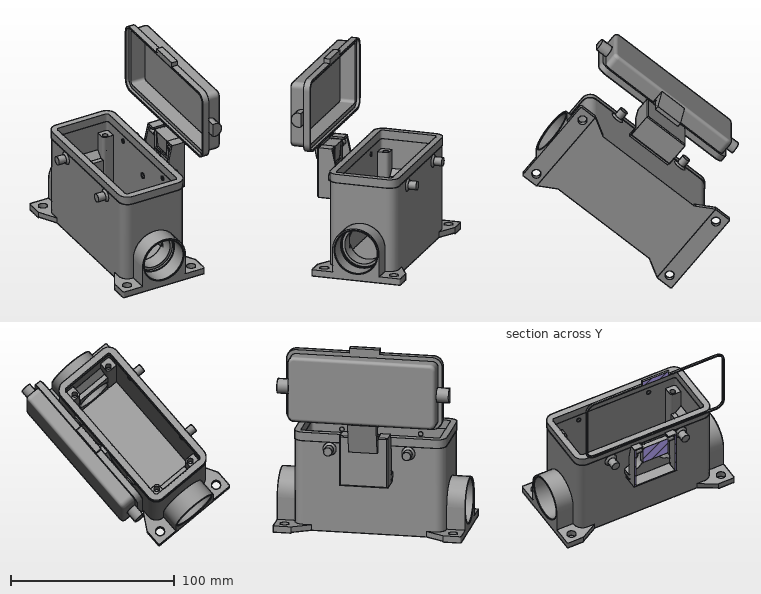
import cadquery as cq

HOUSING_LENGTH = 94.1
HOUSING_WIDTH = 43.8
HOUSING_BOTTOM = 0.5
HOUSING_TOP = 63.25
HOUSING_CORNER_RADIUS = 6.0
RIM_STEP = 0.3
RIM_HEIGHT = 5.5
CAVITY_LENGTH = 86.6
CAVITY_WIDTH = 36.0
CAVITY_STEP = 0.15
CAVITY_FLOOR = 3.5
CAVITY_CORNER_RADIUS = 1.5

POST_SIZE = 7.1
POST_TOP = 51.4
POST_EDGE_RADIUS = 1.8
POST_SCREW_X = 38.7
POST_SCREW_Y = 13.5
POST_SCREW_DIAMETER = 3.4
POST_SCREW_DEPTH = 10.0

ENTRY_END_X = 58.5
ENTRY_AXIS_Z = 18.25
ENTRY_RADIUS = 15.05
ENTRY_HOLE_RADIUS = 11.35
ENTRY_BORE_RADIUS = 13.6
ENTRY_BORE_DEPTH = 11.0
ENTRY_SHOULDER_RADIUS = 13.0
ENTRY_SHOULDER_DEPTH = 12.6
ENTRY_LEAD_IN_RADIUS = 14.1
ENTRY_LEAD_IN_DEPTH = 0.5
ENTRY_BLOCK_TOP = 35.3
ENTRY_BLOCK_SLOPE_RUN = 4.1

FOOT_HALF_WIDTH = 28.5
FOOT_HEIGHT = 4.1
FOOT_PAD_X = 47.3
FOOT_WEDGE_X = 35.8
FOOT_CORNER_RADIUS = 0.8
FOOT_HOLE_X = 52.4
FOOT_HOLE_Y = 22.45
FOOT_HOLE_DIAMETER = 5.6

PIN_X = 24.5
PIN_Z = 53.5
PIN_END_Y = 28.2
PIN_RADIUS = 2.65
PIN_COLLAR_RADIUS = 4.1
PIN_COLLAR_LENGTH = 1.2
PIN_MARK_RADIUS = 1.4
HINGE_SCREW_Z = 42.0
HINGE_SCREW_RADIUS = 1.8
WALL_HOLE_DEPTH = 0.5

HINGE_HALF_LENGTH = 15.0
HINGE_BASE_BOTTOM = 38.0
HINGE_BASE_BACK = 27.9
HINGE_BASE_SIDE_TOP = 41.1
HINGE_BASE_TOP = 57.3
HINGE_BASE_TOP_HALF_LENGTH = 2.65
FLARE_TOP = (5.4, 49.2)
FLARE_MIDDLE = (7.4, 45.5)
FLARE_BOTTOM = (10.9, 43.6)
BRACKET_BACK = 39.45
BRACKET_TOP = 67.9
BRACKET_TOP_FRONT = 30.2
BRACKET_SLOPE_Z = 57.7
BRACKET_BOTTOM = 35.9
BRACKET_LIP_FRONT = 23.6
BRACKET_SIDE_WALL = 1.6
BRACKET_WALL = 1.2
BRACKET_EDGE_CHAMFER = 0.7

COVER_FRONT = 33.1
COVER_BACK = 46.75
COVER_AXIS_Z = 97.85
FLANGE_LENGTH = 96.8
FLANGE_HEIGHT = 46.1
FLANGE_THICKNESS = 4.1
FLANGE_RADIUS = 6.0
SHELL_INSET = 2.5
SHELL_EDGE_RADIUS = 2.0
SEAT_INSET = 1.1
SEAT_DEPTH = 2.0
COVER_CAVITY_INSET = 3.65
COVER_CAVITY_RADIUS = 2.0
COVER_SKIN = 1.9
TAB_LENGTH = 18.7
TAB_TOP = 123.75
TRUNNION_END_X = 53.4
TRUNNION_Z = 97.65
TRUNNION_RADIUS = 4.55
TRUNNION_Y = 38.8
ARM_LENGTH = 17.7
ARM_BOTTOM = 58.7
ARM_BOTTOM_BACK = 41.9
ARM_TOP_BACK = 45.9
ARM_TOP_FRONT = 39.9
HUB_FRONT = 31.2
HUB_TOP = 66.5
HUB_POCKET_LENGTH = 12.0
HUB_POCKET_DEPTH = 1.0
HUB_POCKET_BOTTOM = 55.5
HUB_BOTTOM = 54.0
AXLE_RADIUS = 1.5
AXLE_Y = 32.0
AXLE_Z = 63.6

FLANGE_BACK = COVER_FRONT + FLANGE_THICKNESS
RIM_BOTTOM = HOUSING_TOP - RIM_HEIGHT
WALL_Y = HOUSING_WIDTH / 2
CAVITY_END_X = CAVITY_LENGTH / 2
POST_INNER_X = CAVITY_END_X - POST_SIZE
POST_INNER_Y = CAVITY_WIDTH / 2 - POST_SIZE
SIDES = (1, -1)


def box(x_range, y_range, z_range):
    """Axis-aligned box between the given limits."""
    size = [high - low for low, high in (x_range, y_range, z_range)]
    corner = (x_range[0], y_range[0], z_range[0])
    return cq.Workplane("XY").box(*size, centered=False).translate(corner)


def upright_block(length, width, bottom, top, radius):
    """Box with rounded vertical edges, centred on the Z axis."""
    block = cq.Workplane("XY").box(length, width, top - bottom, centered=(True, True, False))
    return block.edges("|Z").fillet(radius).translate((0, 0, bottom))


def cover_plate(inset, radius, front, back):
    """Rounded plate parallel to XZ, its outline set in from the cover flange."""
    plate = cq.Workplane("XY").box(
        FLANGE_LENGTH - 2 * inset, back - front, FLANGE_HEIGHT - 2 * inset, centered=(True, False, True)
    )
    return plate.edges("|Y").fillet(radius).translate((0, front, COVER_AXIS_Z))


def x_cylinder(radius, start, end, y, z):
    """Cylinder along X between two X positions."""
    return cq.Workplane("YZ", origin=(start, y, z)).circle(radius).extrude(end - start)


def y_cylinder(radius, start, end, x, z):
    """Cylinder along Y between two Y positions."""
    return cq.Workplane("XZ", origin=(x, start, z)).circle(radius).extrude(start - end)


def mirrored_x(shape):
    """Shape together with its mirror image across the YZ plane."""
    return shape.union(shape.mirror("YZ"))


def extrude_along_x(profile, half_length):
    """Solid from a closed YZ profile, symmetric about X = 0."""
    return profile.extrude(half_length, both=True)


def housing_shell():
    shell = upright_block(
        HOUSING_LENGTH, HOUSING_WIDTH, HOUSING_BOTTOM, HOUSING_TOP, HOUSING_CORNER_RADIUS
    )
    return shell.union(
        upright_block(
            HOUSING_LENGTH + 2 * RIM_STEP,
            HOUSING_WIDTH + 2 * RIM_STEP,
            RIM_BOTTOM,
            HOUSING_TOP,
            HOUSING_CORNER_RADIUS + RIM_STEP,
        )
    )


def housing_cavity():
    """Cavity, slightly narrower below the rim."""
    lower = upright_block(
        CAVITY_LENGTH - 2 * CAVITY_STEP,
        CAVITY_WIDTH - 2 * CAVITY_STEP,
        CAVITY_FLOOR,
        RIM_BOTTOM,
        CAVITY_CORNER_RADIUS,
    )
    upper = upright_block(CAVITY_LENGTH, CAVITY_WIDTH, RIM_BOTTOM, HOUSING_TOP, CAVITY_CORNER_RADIUS)
    return lower.union(upper)


def foot():
    """Foot on the +X end: a pad standing just below the housing, with wedges along its sides."""
    outline = [
        (FOOT_WEDGE_X, -WALL_Y),
        (FOOT_PAD_X, -FOOT_HALF_WIDTH),
        (ENTRY_END_X, -FOOT_HALF_WIDTH),
        (ENTRY_END_X, FOOT_HALF_WIDTH),
        (FOOT_PAD_X, FOOT_HALF_WIDTH),
        (FOOT_WEDGE_X, WALL_Y),
    ]
    plate = cq.Workplane("XY").polyline(outline).close().extrude(FOOT_HEIGHT)
    plate = plate.edges("|Z and >X").fillet(FOOT_CORNER_RADIUS)
    relief = box((0, FOOT_PAD_X), (-FOOT_HALF_WIDTH, FOOT_HALF_WIDTH), (0, HOUSING_BOTTOM))
    return plate.cut(relief)


def foot_holes():
    centres = [(FOOT_HOLE_X, side * FOOT_HOLE_Y) for side in SIDES]
    return cq.Workplane("XY").pushPoints(centres).circle(FOOT_HOLE_DIAMETER / 2).extrude(FOOT_HEIGHT)


def entry_boss():
    """Round-topped boss outside the +X wall."""
    tube = x_cylinder(ENTRY_RADIUS, CAVITY_END_X, ENTRY_END_X, 0, ENTRY_AXIS_Z)
    base = box((CAVITY_END_X, ENTRY_END_X), (-ENTRY_RADIUS, ENTRY_RADIUS), (HOUSING_BOTTOM, ENTRY_AXIS_Z))
    return tube.union(base)


def entry_block():
    """Thickening inside the +X wall, between the posts, with a 45 degree slope on top."""
    profile = [
        (POST_INNER_X, CAVITY_FLOOR),
        (CAVITY_END_X, CAVITY_FLOOR),
        (CAVITY_END_X, ENTRY_BLOCK_TOP + ENTRY_BLOCK_SLOPE_RUN),
        (CAVITY_END_X - ENTRY_BLOCK_SLOPE_RUN, ENTRY_BLOCK_TOP),
        (POST_INNER_X, ENTRY_BLOCK_TOP),
    ]
    return cq.Workplane("XZ").polyline(profile).close().extrude(POST_INNER_Y, both=True)


def entry_bore():
    """Stepped bore narrowing inward, with a short lead-in."""
    steps = [
        (ENTRY_SHOULDER_RADIUS, ENTRY_SHOULDER_DEPTH),
        (ENTRY_BORE_RADIUS, ENTRY_BORE_DEPTH),
        (ENTRY_LEAD_IN_RADIUS, ENTRY_LEAD_IN_DEPTH),
    ]
    bore = x_cylinder(ENTRY_HOLE_RADIUS, POST_INNER_X, ENTRY_END_X, 0, ENTRY_AXIS_Z)
    for radius, depth in steps:
        bore = bore.union(x_cylinder(radius, ENTRY_END_X - depth, ENTRY_END_X, 0, ENTRY_AXIS_Z))
    return bore


def posts():
    """Two screw posts in the +X corners of the cavity."""
    post = box((POST_INNER_X, CAVITY_END_X), (POST_INNER_Y, CAVITY_WIDTH / 2), (CAVITY_FLOOR, POST_TOP))
    post = post.edges("|Z and <X and <Y").fillet(POST_EDGE_RADIUS)
    screw = (
        cq.Workplane("XY", origin=(POST_SCREW_X, POST_SCREW_Y, POST_TOP))
        .circle(POST_SCREW_DIAMETER / 2)
        .extrude(-POST_SCREW_DEPTH)
    )
    post = post.cut(screw)
    return post.union(post.mirror("XZ"))


def locking_pins():
    """Front and back pins at +X, each with a conical collar against the wall."""
    profile = [
        (0, WALL_Y),
        (PIN_COLLAR_RADIUS, WALL_Y),
        (PIN_RADIUS, WALL_Y + PIN_COLLAR_LENGTH),
        (PIN_RADIUS, PIN_END_Y),
        (0, PIN_END_Y),
    ]
    pin = cq.Workplane("XY").polyline(profile).close().revolve(360, (0, 0, 0), (0, 1, 0))
    pin = pin.union(pin.mirror("XZ"))
    return pin.translate((PIN_X, 0, PIN_Z))


def wall_holes():
    """Shallow round marks on the inside of the walls, behind the pins and the hinge."""
    start = CAVITY_WIDTH / 2 - CAVITY_STEP
    end = start + WALL_HOLE_DEPTH
    pin_hole = y_cylinder(PIN_MARK_RADIUS, start, end, PIN_X, PIN_Z)
    pin_holes = mirrored_x(pin_hole.union(pin_hole.mirror("XZ")))
    return pin_holes.union(y_cylinder(HINGE_SCREW_RADIUS, start, end, 0, HINGE_SCREW_Z))


def housing():
    ends = foot().union(entry_boss())
    inner = posts().union(entry_block())
    body = housing_shell().union(mirrored_x(ends))
    body = body.cut(housing_cavity()).union(mirrored_x(inner))
    body = body.cut(mirrored_x(entry_bore().union(foot_holes())))
    return body.union(mirrored_x(locking_pins())).cut(wall_holes())


def hinge_base():
    """Block on the back wall, flaring out from a narrow top to the bracket length."""
    half = (
        cq.Workplane("XZ", origin=(0, WALL_Y, 0))
        .moveTo(0, HINGE_BASE_BOTTOM)
        .lineTo(HINGE_HALF_LENGTH, HINGE_BASE_BOTTOM)
        .lineTo(HINGE_HALF_LENGTH, HINGE_BASE_SIDE_TOP)
        .lineTo(*FLARE_BOTTOM)
        .threePointArc(FLARE_MIDDLE, FLARE_TOP)
        .lineTo(HINGE_BASE_TOP_HALF_LENGTH, HINGE_BASE_TOP)
        .lineTo(0, HINGE_BASE_TOP)
        .close()
        .extrude(WALL_Y - HINGE_BASE_BACK)
    )
    return mirrored_x(half)


def bracket():
    """Sheet channel open toward the housing, notched at the top for the cover arm."""
    lip_top = BRACKET_BOTTOM + BRACKET_WALL
    profile = [
        (BRACKET_BACK, BRACKET_BOTTOM),
        (BRACKET_LIP_FRONT, BRACKET_BOTTOM),
        (BRACKET_LIP_FRONT, lip_top),
        (HINGE_BASE_BACK, lip_top),
        (HINGE_BASE_BACK, BRACKET_SLOPE_Z),
        (BRACKET_TOP_FRONT, BRACKET_TOP),
        (BRACKET_BACK, BRACKET_TOP),
    ]
    channel = extrude_along_x(cq.Workplane("YZ").polyline(profile).close(), HINGE_HALF_LENGTH)
    channel = channel.faces(">Y").chamfer(BRACKET_EDGE_CHAMFER)
    inner_x = HINGE_HALF_LENGTH - BRACKET_SIDE_WALL
    inside = box(
        (-inner_x, inner_x), (0, BRACKET_BACK - BRACKET_WALL), (lip_top, BRACKET_TOP - BRACKET_WALL)
    )
    notch = box((-ARM_LENGTH / 2, ARM_LENGTH / 2), (0, BRACKET_BACK), (ARM_BOTTOM, BRACKET_TOP))
    stub = x_cylinder(AXLE_RADIUS, ARM_LENGTH / 2, inner_x, AXLE_Y, AXLE_Z)
    return channel.cut(inside).cut(notch).union(mirrored_x(stub))


def cover_shell():
    flange = cover_plate(0, FLANGE_RADIUS, COVER_FRONT, FLANGE_BACK)
    shell = cover_plate(SHELL_INSET, FLANGE_RADIUS - SHELL_INSET, FLANGE_BACK, COVER_BACK)
    shell = shell.faces(">Y").edges().fillet(SHELL_EDGE_RADIUS)
    seat = cover_plate(SEAT_INSET, FLANGE_RADIUS - SEAT_INSET, COVER_FRONT, COVER_FRONT + SEAT_DEPTH)
    cavity = cover_plate(COVER_CAVITY_INSET, COVER_CAVITY_RADIUS, COVER_FRONT, COVER_BACK - COVER_SKIN)
    return flange.union(shell).cut(seat).cut(cavity)


def cover_tab():
    flange_top = COVER_AXIS_Z + FLANGE_HEIGHT / 2
    tab_bottom = flange_top - SEAT_INSET
    return box((-TAB_LENGTH / 2, TAB_LENGTH / 2), (COVER_FRONT, FLANGE_BACK), (tab_bottom, TAB_TOP))


def trunnion():
    """Side lug on the +X end: a cylinder cut flat level with the flange."""
    shell_end_x = FLANGE_LENGTH / 2 - COVER_CAVITY_INSET
    lug = x_cylinder(TRUNNION_RADIUS, shell_end_x, TRUNNION_END_X, TRUNNION_Y, TRUNNION_Z)
    return lug.intersect(box((0, TRUNNION_END_X), (FLANGE_BACK, COVER_BACK), (0, TAB_TOP)))


def cover_arm():
    """Tapered arm below the cover, ending in the hub that turns in the bracket."""
    flange_bottom = COVER_AXIS_Z - FLANGE_HEIGHT / 2
    shell_bottom = flange_bottom + SHELL_INSET
    profile = [
        (ARM_TOP_BACK, shell_bottom),
        (ARM_BOTTOM_BACK, ARM_BOTTOM),
        (BRACKET_BACK, ARM_BOTTOM),
        (BRACKET_BACK, HUB_BOTTOM),
        (HUB_FRONT, HUB_BOTTOM),
        (HUB_FRONT, HUB_TOP),
        (BRACKET_BACK, HUB_TOP),
        (ARM_TOP_FRONT, flange_bottom),
        (FLANGE_BACK, flange_bottom),
        (FLANGE_BACK, shell_bottom),
    ]
    arm = extrude_along_x(cq.Workplane("YZ").polyline(profile).close(), ARM_LENGTH / 2)
    pocket = [
        (HUB_FRONT, HUB_TOP),
        (HUB_FRONT + HUB_POCKET_DEPTH, HUB_POCKET_BOTTOM),
        (HUB_FRONT, HUB_POCKET_BOTTOM),
    ]
    wedge = extrude_along_x(cq.Workplane("YZ").polyline(pocket).close(), HUB_POCKET_LENGTH / 2)
    return arm.cut(wedge)


def cover():
    return cover_shell().union(cover_tab()).union(mirrored_x(trunnion())).union(cover_arm())


result = housing().union(hinge_base()).union(bracket()).union(cover())